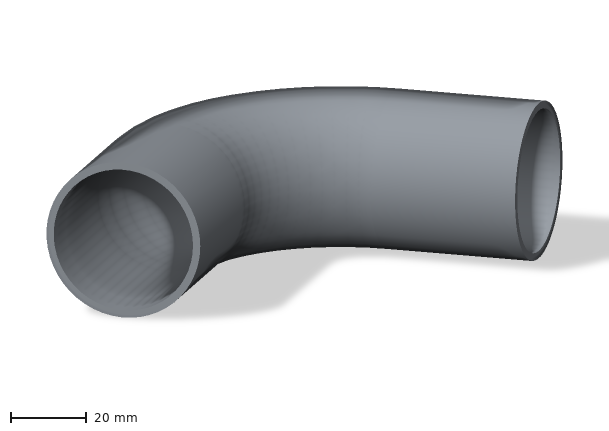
import cadquery as cq

overall_length = 108.7
outer_diameter = 42.4
inner_diameter = 38.4
straight_length = 39.9

bend_radius = overall_length - straight_length - outer_diameter / 2


def elbow_rod(diameter):
    """Solid round bar: straight along +Y, a quarter bend, straight along +X."""
    first_leg = cq.Workplane("XZ").circle(diameter / 2).extrude(-straight_length)

    bend = (
        cq.Workplane("XZ", origin=(0, straight_length, 0))
        .circle(diameter / 2)
        .revolve(90, (bend_radius, 1.1, 0), (bend_radius, 0, 0))
    )

    second_leg = (
        cq.Workplane("YZ", origin=(bend_radius, straight_length + bend_radius, 0))
        .circle(diameter / 2)
        .extrude(straight_length)
    )
    return first_leg.union(bend).union(second_leg)


result = elbow_rod(outer_diameter).cut(elbow_rod(inner_diameter))